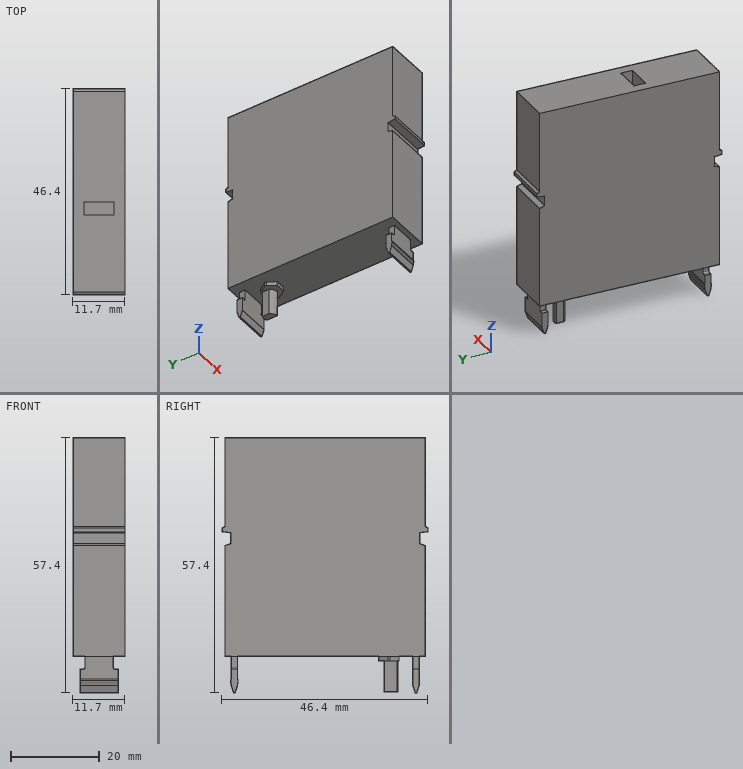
import cadquery as cq

width = 11.7
height = 49.2
half_depth = 22.55

lip_half_depth = 23.2
notch_half_depth = 21.3
lip_top_inner = 29.2
lip_top_outer = 28.8
lip_bottom_outer = 28.0
lip_bottom_inner = 27.8
notch_bottom_inner = 25.35
notch_bottom_outer = 24.9

pocket_width = 6.8
pocket_length = 2.85
pocket_depth = 4.6
pocket_y = -3.8

tab_length = 57.4 - height
tab_y = 20.45
tab_half_width = 4.3
neck_half_width = 3.2
shoulder_z = -2.85
shoulder_radius = 0.4
tab_half_thickness = 0.75
tip_half_thickness = 0.2
taper_start = -6.55
ridge_height = 0.1
ridge_top = -5.1
ridge_crest_top = -5.45
ridge_crest_bottom = -5.8
ridge_bottom = -6.2

collar_x = -0.3
post_y = 14.35
post_left_x = -1.45
post_right_x = 0.3
post_front_y = 13.25
post_round_mid_x = -0.7
post_round_mid_y = 13.65
post_back_y = 16.35
post_edge_chamfer = 0.25
post_length = 8.05
collar_half_length = 2.3
collar_end_half_width = 1.25
collar_middle_half_width = 2.6
collar_side_flat = 0.25
collar_height = 1.05


def housing():
    """Extrude the side profile, symmetric about Y = 0, across the width."""
    side = [
        (half_depth, 0),
        (half_depth, notch_bottom_outer),
        (notch_half_depth, notch_bottom_inner),
        (notch_half_depth, lip_bottom_inner),
        (lip_half_depth, lip_bottom_outer),
        (lip_half_depth, lip_top_outer),
        (half_depth, lip_top_inner),
        (half_depth, height),
    ]
    mirrored_side = [(-y, z) for y, z in reversed(side)]
    body = cq.Workplane("YZ").polyline(side + mirrored_side).close().extrude(width / 2, both=True)
    pocket = (
        cq.Workplane("XY", origin=(0, pocket_y, height))
        .rect(pocket_width, pocket_length)
        .extrude(-pocket_depth)
    )
    return body.cut(pocket)


def tab_blade(ridged):
    """Extrude a pointed blade, centred on Y = 0, optionally with a ridge on each face."""
    side = [(tab_half_thickness, 0)]
    if ridged:
        crest = tab_half_thickness + ridge_height
        side += [
            (tab_half_thickness, ridge_top),
            (crest, ridge_crest_top),
            (crest, ridge_crest_bottom),
            (tab_half_thickness, ridge_bottom),
        ]
    side += [(tab_half_thickness, taper_start), (tip_half_thickness, -tab_length)]
    mirrored_side = [(-y, z) for y, z in reversed(side)]
    return cq.Workplane("YZ").polyline(side + mirrored_side).close().extrude(tab_half_width, both=True)


def neck_relief(side, rounded):
    """Cutter that narrows one edge of a blade to the neck above its shoulder."""
    relief_width = 2 * (tab_half_width - neck_half_width)
    relief = cq.Workplane("XY").box(
        relief_width, 4 * tab_half_thickness, -shoulder_z, centered=(False, True, False)
    )
    if rounded:
        relief = relief.edges("|Y and <X and <Z").fillet(shoulder_radius)
    relief = relief.translate((neck_half_width, 0, shoulder_z))
    return relief if side > 0 else relief.mirror("YZ")


def snap_tab(y, detailed):
    """Necked tab; a detailed one has face ridges and rounded neck corners."""
    tab = tab_blade(detailed)
    for side in (-1, 1):
        tab = tab.cut(neck_relief(side, detailed))
    return tab.translate((0, y, 0))


def coding_post():
    """Post rounded towards -X and -Y, hanging from a collar widest at its middle."""
    post = (
        cq.Workplane("XY")
        .moveTo(post_left_x, post_y)
        .threePointArc((post_round_mid_x, post_round_mid_y), (post_right_x, post_front_y))
        .lineTo(post_right_x, post_back_y)
        .lineTo(post_left_x, post_back_y)
        .close()
        .extrude(-post_length)
        .edges("|Z and >Y")
        .chamfer(post_edge_chamfer)
    )
    half_outline = [
        (collar_end_half_width, -collar_half_length),
        (collar_middle_half_width, -collar_side_flat),
        (collar_middle_half_width, collar_side_flat),
        (collar_end_half_width, collar_half_length),
    ]
    mirrored_outline = [(-x, y) for x, y in reversed(half_outline)]
    collar = (
        cq.Workplane("XY", origin=(collar_x, post_y, 0))
        .polyline(half_outline + mirrored_outline)
        .close()
        .extrude(-collar_height)
    )
    return post.union(collar)


result = (
    housing()
    .union(snap_tab(-tab_y, detailed=True))
    .union(snap_tab(tab_y, detailed=False))
    .union(coding_post())
)